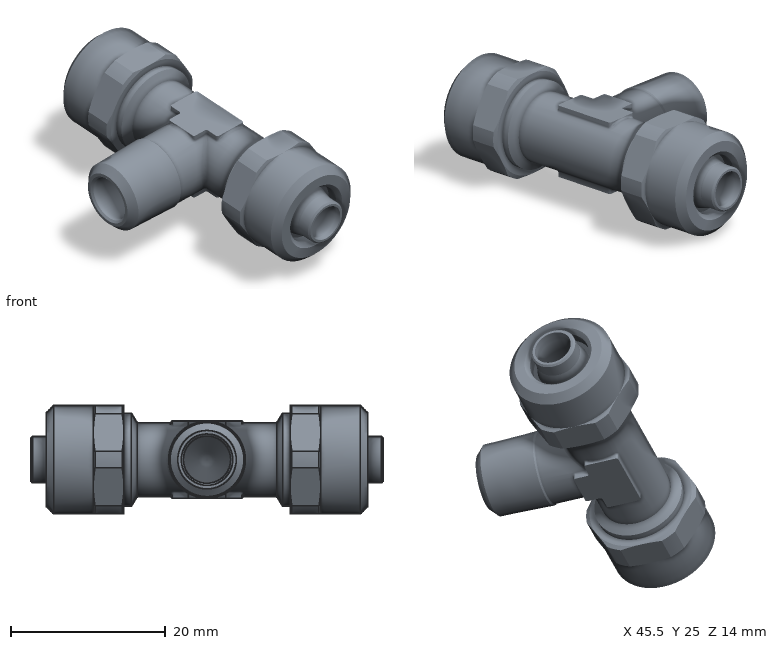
import cadquery as cq
import math

half_length = 22.75
body_radius = 4.8
through_bore_radius = 2.45

collar_start = 9.0
collar_full = 9.8
collar_radius = 6.0

nut_start = 10.75
hex_end = 14.7
sleeve_end = 20.8
across_flats = 14.0
hex_corner_radius = 7.55
hex_chamfer_radial = 0.55
hex_chamfer_axial = 0.25
sleeve_radius = across_flats / 2
sleeve_chamfer = 1.0

socket_mouth_radius = 4.6
socket_radius = 4.05
socket_countersink_depth = 0.55
socket_depth = 1.95
socket_floor = sleeve_end - socket_depth

insert_radius = 3.0
insert_edge_chamfer = 0.25
barb_radius = 3.5
barb_length = 1.85

branch_end = 17.43
thread_start = 8.9
thread_lead_in = 0.25
thread_large_radius = 4.95
thread_small_radius = 4.8
branch_chamfer = 1.0
branch_bore_radius = 3.05
branch_bore_chamfer = 0.27
branch_bore_tip_gap = 0.9
drill_tip_angle = 118.0

pad_half_height = 5.0
pad_half_width = 4.5
pad_half_depth = 2.3
stem_half_width = 2.4
stem_length = 4.5
pad_overbuild = 0.45
seam_margin = 0.25
pad_corner_radius = 0.27
pad_base_fillet = 0.27
branch_corner_fillet = 0.5


def turned_x(points):
    """Solid of revolution about X from (x, radius) points."""
    return cq.Workplane("XY").polyline(points).close().revolve(360, (0, 0, 0), (1, 0, 0))


def turned_branch(points):
    """Solid of revolution about Y from (distance along -Y, radius) points."""
    outline = [(radius, -distance) for distance, radius in points]
    return cq.Workplane("XY").polyline(outline).close().revolve(360, (0, 0, 0), (0, 1, 0))


def t_pads():
    """T-shaped column whose two ends are the pads, built overlong."""
    outline = [
        (-pad_half_width, pad_half_depth),
        (pad_half_width, pad_half_depth),
        (pad_half_width, -pad_half_depth),
        (stem_half_width, -pad_half_depth),
        (stem_half_width, -stem_length),
        (-stem_half_width, -stem_length),
        (-stem_half_width, -pad_half_depth),
        (-pad_half_width, -pad_half_depth),
    ]
    half_height = pad_half_height + pad_overbuild
    column = cq.Workplane("XY").polyline(outline).close().extrude(half_height, both=True)
    return column.edges("|Z").fillet(pad_corner_radius)


def seams_inside(y_max):
    """Selects edges lying within the crossing, up to the given Y."""
    reach = body_radius + seam_margin
    low_corner = (-reach, -reach, -reach)
    return cq.selectors.BoxSelector(low_corner, (reach, y_max, reach), boundingbox=True)


def crossing():
    """Pipe, branch stub and pads, blended together and trimmed to the pad height."""
    pipe = cq.Workplane("YZ").circle(body_radius).extrude(collar_full, both=True)
    stub = cq.Workplane("XZ").circle(body_radius).extrude(thread_start)
    tee = pipe.union(stub).edges(seams_inside(seam_margin)).fillet(branch_corner_fillet)

    padded = tee.union(t_pads())
    padded = padded.edges(seams_inside(body_radius + seam_margin)).fillet(pad_base_fillet)
    trim = cq.Workplane("XY").box(2 * half_length, 2 * branch_end, 2 * pad_half_height)
    return padded.intersect(trim)


def collar():
    return turned_x([
        (0, 0),
        (collar_start, 0),
        (collar_start, body_radius),
        (collar_full, collar_radius),
        (nut_start, collar_radius),
        (nut_start, 0),
    ])


def nut_hex():
    """Hexagon with flats facing +Z and -Z and turned-down corners."""
    hexagon = (
        cq.Workplane("YZ", origin=(nut_start, 0, 0))
        .polygon(6, across_flats / math.cos(math.pi / 6))
        .extrude(hex_end - nut_start)
    )
    end_radius = hex_corner_radius - hex_chamfer_radial
    corner_envelope = turned_x([
        (nut_start, 0),
        (nut_start, end_radius),
        (nut_start + hex_chamfer_axial, hex_corner_radius),
        (hex_end - hex_chamfer_axial, hex_corner_radius),
        (hex_end, end_radius),
        (hex_end, 0),
    ])
    return hexagon.intersect(corner_envelope)


def sleeve():
    """Round part of the nut with its socket already hollowed."""
    return turned_x([
        (hex_end, 0),
        (hex_end, sleeve_radius),
        (sleeve_end - sleeve_chamfer, sleeve_radius),
        (sleeve_end, sleeve_radius - sleeve_chamfer),
        (sleeve_end, socket_mouth_radius),
        (sleeve_end - socket_countersink_depth, socket_radius),
        (socket_floor, socket_radius),
        (socket_floor, 0),
    ])


def insert():
    barb_root = socket_floor + barb_length
    return turned_x([
        (hex_end, 0),
        (hex_end, barb_radius),
        (socket_floor, barb_radius),
        (barb_root, insert_radius),
        (half_length - insert_edge_chamfer, insert_radius),
        (half_length, insert_radius - insert_edge_chamfer),
        (half_length, 0),
    ])


def branch_spigot():
    """Tapered threaded end of the branch."""
    return turned_branch([
        (body_radius, 0),
        (body_radius, body_radius - thread_lead_in),
        (thread_start, body_radius),
        (thread_start + thread_lead_in, thread_large_radius),
        (branch_end - branch_chamfer, thread_small_radius),
        (branch_end, thread_small_radius - branch_chamfer),
        (branch_end, 0),
    ])


def branch_bore():
    """Blind drilled hole that stops short of the through bore."""
    tip = through_bore_radius + branch_bore_tip_gap
    tip_length = branch_bore_radius / math.tan(math.radians(drill_tip_angle / 2))
    return turned_branch([
        (tip, 0),
        (tip + tip_length, branch_bore_radius),
        (branch_end - branch_bore_chamfer, branch_bore_radius),
        (branch_end, branch_bore_radius + branch_bore_chamfer),
        (branch_end, 0),
    ])


end_fitting = collar().union(nut_hex()).union(sleeve()).union(insert())
through_bore = cq.Workplane("YZ").circle(through_bore_radius).extrude(half_length, both=True)

result = (
    crossing()
    .union(branch_spigot())
    .union(end_fitting)
    .union(end_fitting.mirror("YZ"))
    .cut(through_bore)
    .cut(branch_bore())
)